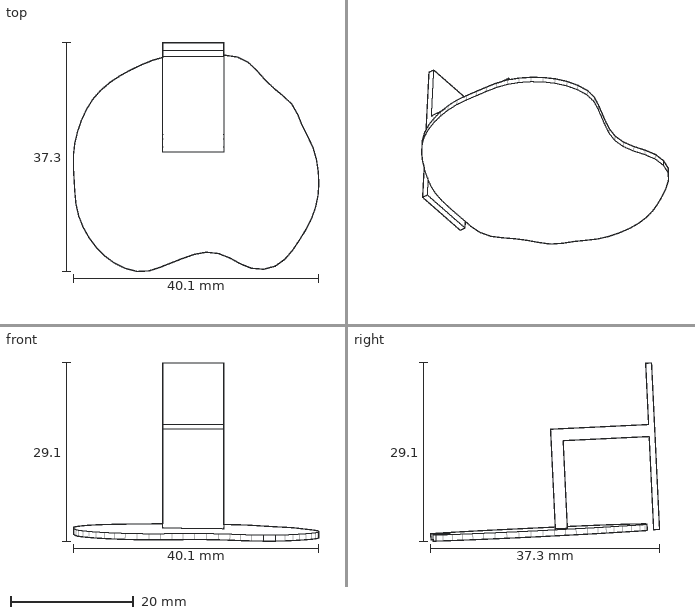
import cadquery as cq


front_tilt = 2.75
side_roll = 0.7

chair_width = 10.0
seat_height = 16.2
seat_thickness = 2.0
leg_thickness = 2.0
chair_depth = 17.0
back_thickness = 1.0
back_rise = 10.0

plate_thickness = 1.0
facet_count = 63

outline_points = [
    (5.25, 14.93),
    (0.0, 15.0),
    (-5.0, 14.6),
    (-9.5, 12.9),
    (-12.9, 11.0),
    (-16.2, 8.0),
    (-18.4, 3.9),
    (-19.53, -1.0),
    (-19.4, -6.0),
    (-19.0, -10.1),
    (-17.2, -14.5),
    (-14.2, -18.0),
    (-10.9, -19.9),
    (-8.1, -20.37),
    (-5.0, -19.5),
    (-1.7, -18.2),
    (2.2, -17.2),
    (5.0, -17.7),
    (9.4, -19.8),
    (13.1, -19.6),
    (17.2, -15.4),
    (19.5, -11.2),
    (20.45, -7.0),
    (20.3, -3.3),
    (19.6, -0.3),
    (17.8, 3.4),
    (16.2, 6.8),
    (13.9, 8.9),
    (11.0, 11.7),
    (8.8, 13.9),
]


def make_plate():
    """Irregular flat plate whose rim is made of equal straight facets."""
    outline = cq.Edge.makeSpline([cq.Vector(x, y) for x, y in outline_points], periodic=True)
    corners = outline.positions([i / facet_count for i in range(facet_count)])
    rim = [(corner.x, corner.y) for corner in corners]
    plate = cq.Workplane("XY").polyline(rim).close().extrude(-plate_thickness)
    return plate.rotate((0, 0, 0), (0, 1, 0), side_roll)


def make_chair():
    """Side profile of front leg, seat and back panel, extruded across the width."""
    front_foot = -plate_thickness / 2
    back_foot = -plate_thickness
    seat_underside = seat_height - seat_thickness
    back_front_face = chair_depth - back_thickness
    profile = [
        (0, front_foot),
        (0, seat_height),
        (back_front_face, seat_height),
        (back_front_face, seat_height + back_rise),
        (chair_depth, seat_height + back_rise),
        (chair_depth, back_foot),
        (back_front_face, back_foot),
        (back_front_face, seat_underside),
        (leg_thickness, seat_underside),
        (leg_thickness, front_foot),
    ]
    return cq.Workplane("YZ").polyline(profile).close().extrude(chair_width / 2, both=True)


result = make_plate().union(make_chair()).rotate((0, 0, 0), (1, 0, 0), front_tilt)